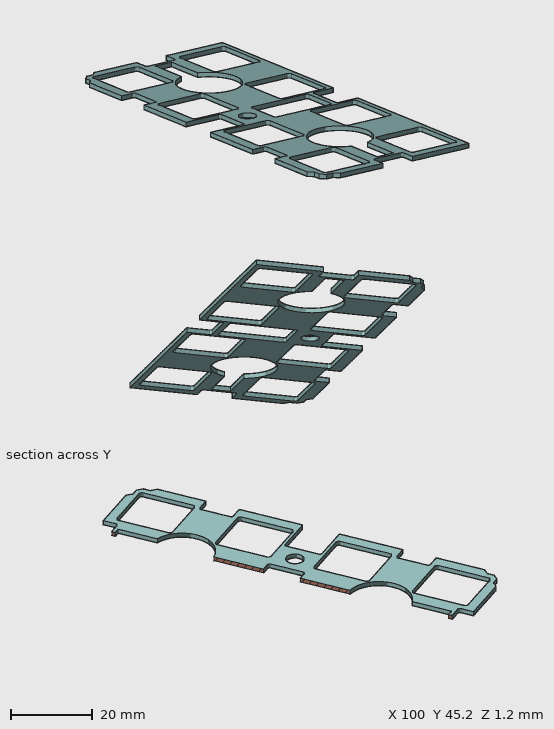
import cadquery as cq

length = 100.0
width = 45.2
thickness = 1.2
top_edge = width / 2
bottom_edge = -width / 2

pitch = 26.6
grid_center_y = 0.8
cluster_x = pitch
window_length = 15.0
window_width = 14.1
window_radius = 0.8
notch_radius = 0.6

opening_diameter = 16.4
slot_width = 4.9
slot_end_x = 45.0

side_notch_width = 9.0
side_notch_depth = 4.0
bottom_notch_width = 9.0
bottom_notch_depth = 4.0

gap_width = 9.9
top_gap_depth = 6.4
bottom_gap_depth = 10.6
gap_window_top = 14.7
gap_window_bottom = -2.8
screw_hole_diameter = 4.5
screw_hole_y = -7.5

corner_length = 5.8
corner_step = 1.3
corner_chamfer = 1.3


def rounded_cut(center_x, center_y, size_x, size_y, radius):
    """Cutter through the plate with rounded vertical edges."""
    return (
        cq.Workplane("XY")
        .center(center_x, center_y)
        .rect(size_x, size_y)
        .extrude(thickness)
        .edges("|Z")
        .fillet(radius)
    )


def edge_notches():
    """Notches centred on the outer edges, so that only their inner corners are rounded."""
    cutters = [
        rounded_cut(0, top_edge, gap_width, 2 * top_gap_depth, notch_radius),
        rounded_cut(0, bottom_edge, gap_width, 2 * bottom_gap_depth, notch_radius),
    ]
    for side in (-1, 1):
        side_edge = side * length / 2
        cutters += [
            rounded_cut(side_edge, grid_center_y, 2 * side_notch_depth, side_notch_width, notch_radius),
            rounded_cut(side * cluster_x, bottom_edge, bottom_notch_width, 2 * bottom_notch_depth, notch_radius),
        ]
    return cutters


def key_windows():
    """Grid of four columns and two rows, evenly spaced in both directions."""
    cutters = []
    for column in (-1.5, -0.5, 0.5, 1.5):
        for row in (-0.5, 0.5):
            x = column * pitch
            y = grid_center_y + row * pitch
            cutters.append(rounded_cut(x, y, window_length, window_width, window_radius))
    return cutters


def gap_window():
    center_y = (gap_window_top + gap_window_bottom) / 2
    return rounded_cut(0, center_y, gap_width, gap_window_top - gap_window_bottom, notch_radius)


def screw_hole():
    return cq.Workplane("XY").center(0, screw_hole_y).circle(screw_hole_diameter / 2).extrude(thickness)


def keyhole(side):
    """Round opening with a square-ended slot running towards the side edge."""
    center_x = side * cluster_x
    slot_length = slot_end_x - cluster_x
    disc = (
        cq.Workplane("XY")
        .center(center_x, grid_center_y)
        .circle(opening_diameter / 2)
        .extrude(thickness)
    )
    slot = (
        cq.Workplane("XY")
        .center(center_x + side * slot_length / 2, grid_center_y)
        .rect(slot_length, slot_width)
        .extrude(thickness)
    )
    return disc.union(slot)


def stepped_corner(side):
    """Cutter for one lower corner, listed from the side edge to the bottom edge."""
    inset = corner_step + corner_chamfer
    depths = [
        (0, 0),
        (0, corner_length),
        (corner_step, corner_length - corner_step),
        (corner_step, inset),
        (inset, corner_step),
        (corner_length - corner_step, corner_step),
        (corner_length, 0),
    ]
    points = [(side * (length / 2 - dx), bottom_edge + dy) for dx, dy in depths]
    return cq.Workplane("XY").polyline(points).close().extrude(thickness)


cutters = edge_notches() + key_windows() + [gap_window(), screw_hole()]
for side in (-1, 1):
    cutters += [keyhole(side), stepped_corner(side)]

result = cq.Workplane("XY").rect(length, width).extrude(thickness)
for cutter in cutters:
    result = result.cut(cutter)